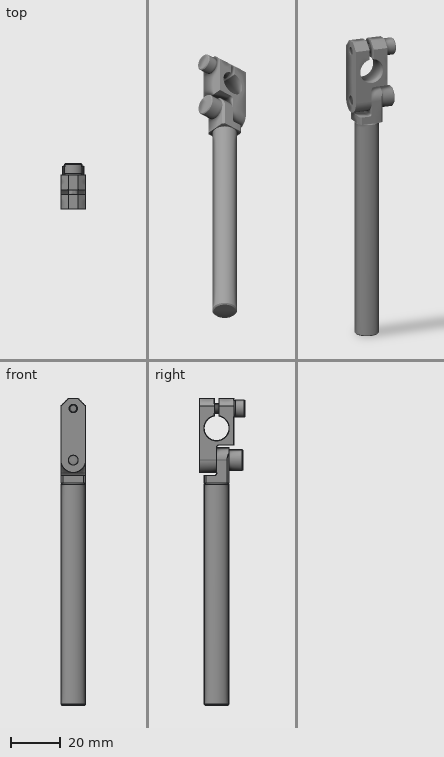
import cadquery as cq

total_height = 124.0
width = 10.0
half_width = width / 2

rod_top = 89.8
rod_chamfer = 0.5
head_chamfer = 0.8
shelf_height = 92.9
pivot_height = 99.1
step_fillet = 1.0

clamp_depth = 13.9
clamp_front = -clamp_depth / 2
clamp_back = clamp_depth / 2
clamp_step_height = 105.2
clamp_chamfer = 3.1
bore_diameter = width
bore_height = 112.0
slot_width = 1.9

clamp_screw_height = 119.9
clamp_screw_diameter = 4.0
clamp_thread_diameter = 3.3
clamp_screw_clearance = 4.3
clamp_head_diameter = 7.0
clamp_head_length = 4.0
clamp_washer_diameter = 6.7
clamp_washer_thickness = 0.6

pivot_screw_diameter = 5.0
pivot_thread_diameter = 4.0
pivot_screw_clearance = 5.3
pivot_head_diameter = 8.5
pivot_head_length = 5.6

screw_edge_chamfer = 0.4
tip_chamfer = 0.2
tip_recess = 0.6


def cylinder_along_y(diameter, front, back, height):
    """Cylinder on the X = 0 plane, parallel to Y, from front to back."""
    plane = cq.Plane(origin=(0, front, height), xDir=(1, 0, 0), normal=(0, 1, 0))
    return cq.Workplane(plane).circle(diameter / 2).extrude(back - front)


def box_between(front, back, bottom, top):
    """Box of the full width between two Y and two Z positions."""
    box = cq.Workplane("XY").box(width, back - front, top - bottom, centered=(True, False, False))
    return box.translate((0, front, bottom))


def make_rod():
    rod = cq.Workplane("XY").circle(half_width).extrude(rod_top)
    return rod.faces("<Z or >Z").chamfer(rod_chamfer)


def make_joint_head():
    head_top = pivot_height + half_width
    head = box_between(-half_width, half_width, rod_top, head_top)
    head = head.edges("|Z").chamfer(head_chamfer)
    rounded_end = cylinder_along_y(width, -half_width, half_width, pivot_height)
    head = head.intersect(box_between(-half_width, half_width, rod_top, pivot_height).union(rounded_end))

    relief = box_between(-width, 0, shelf_height, total_height)
    relief = relief.edges("|X and >Y and <Z").fillet(step_fillet)
    head = head.cut(relief)
    return head.cut(cylinder_along_y(pivot_screw_clearance, 0, half_width, pivot_height))


def make_clamp():
    block = box_between(clamp_front, clamp_back, pivot_height, total_height)
    block = block.edges("|Y and >Z").chamfer(clamp_chamfer)
    block = block.union(cylinder_along_y(width, clamp_front, clamp_back, pivot_height))

    relief = box_between(0, width, 0, clamp_step_height)
    relief = relief.edges("|X and <Y and >Z").fillet(step_fillet)
    block = block.cut(relief)

    bore = cq.Workplane("YZ").center(0, bore_height).circle(bore_diameter / 2).extrude(half_width, both=True)
    slot = box_between(-slot_width / 2, slot_width / 2, bore_height, total_height)
    block = block.cut(bore).cut(slot)

    block = block.cut(cylinder_along_y(clamp_thread_diameter, clamp_front, 0, clamp_screw_height))
    block = block.cut(cylinder_along_y(clamp_screw_clearance, 0, clamp_back, clamp_screw_height))
    return block.cut(cylinder_along_y(pivot_thread_diameter, clamp_front, 0, pivot_height))


def make_screw(shank_diameter, thread_diameter, thread_back, head_diameter, head_length, seat, height):
    """Screw with its head behind the seat, a shank, and a thinner threaded end in the clamp."""
    head = cylinder_along_y(head_diameter, seat, seat + head_length, height)
    head = head.faces(">Y").chamfer(screw_edge_chamfer)
    shank = cylinder_along_y(shank_diameter, thread_back, seat, height)
    thread = cylinder_along_y(thread_diameter, clamp_front + tip_recess, thread_back, height)
    return head.union(shank).union(thread)


def make_washer(outer_diameter, hole_diameter, thickness, seat, height):
    disc = cylinder_along_y(outer_diameter, seat, seat + thickness, height)
    return disc.cut(cylinder_along_y(hole_diameter, seat, seat + thickness, height))


rod = make_rod()
joint_head = make_joint_head()
clamp = make_clamp()

clamp_washer = make_washer(
    clamp_washer_diameter, clamp_screw_clearance, clamp_washer_thickness, clamp_back, clamp_screw_height
)
clamp_screw = make_screw(
    clamp_screw_diameter,
    clamp_thread_diameter,
    -slot_width / 2,
    clamp_head_diameter,
    clamp_head_length,
    clamp_back + clamp_washer_thickness,
    clamp_screw_height,
)
clamp_screw = clamp_screw.faces("<Y").chamfer(tip_chamfer)

pivot_screw = make_screw(
    pivot_screw_diameter,
    pivot_thread_diameter,
    0,
    pivot_head_diameter,
    pivot_head_length,
    half_width,
    pivot_height,
)

result = cq.Compound.makeCompound(
    [rod.val(), joint_head.val(), clamp.val(), clamp_washer.val(), clamp_screw.val(), pivot_screw.val()]
)